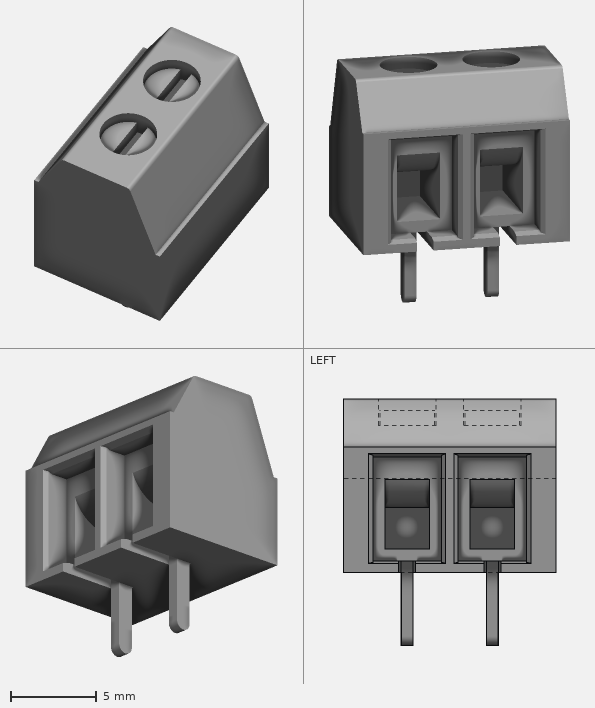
import cadquery as cq
import math


FRONT_X = -4.2
BACK_X = 4.4
WIDTH = 12.5
HEIGHT = 10.21
LEDGE = 0.29
FRONT_LEDGE_Z = 7.4
BACK_LEDGE_Z = 5.52
FRONT_SLOPE_ANGLE = 60.0
BACK_SLOPE_ANGLE = 69.0
RIDGE_RADIUS = 0.29

PITCH = 5.0
POLE_YS = (-PITCH / 2, PITCH / 2)

MOUTH_WIDTH = 4.52
MOUTH_BOTTOM_Z = 0.54
MOUTH_TOP_Z = 6.99
SIDE_BEVEL_DEPTH = 0.23
LEVEL_BEVEL_DEPTH = 0.5
POCKET_WIDTH = 4.03
POCKET_BOTTOM_Z = 0.68
POCKET_TOP_Z = 6.79
POCKET_DEPTH = 1.68
POCKET_BACK_X = FRONT_X + POCKET_DEPTH

CAVITY_WIDTH = 2.61
CAVITY_BOTTOM_Z = 1.39
CAVITY_TOP_Z = 5.47
ROOF_LOW_Z = 3.81

SCREW_HOLE_DIAMETER = 3.4
SCREW_DIAMETER = 3.3
SCREW_RECESS = 0.7
SCREW_SLOT_WIDTH = 0.75
SCREW_SLOT_DEPTH = 0.87

PIN_LENGTH = 4.29
PIN_WIDTH = 1.02
PIN_THICKNESS = 0.71
FLOOR_SLOT_WIDTH = 1.0


def make_housing():
    """Side outline with two sloping shoulders, drawn across the full width."""
    front_run = (HEIGHT - FRONT_LEDGE_Z) / math.tan(math.radians(FRONT_SLOPE_ANGLE))
    back_run = (HEIGHT - BACK_LEDGE_Z) / math.tan(math.radians(BACK_SLOPE_ANGLE))
    outline = [
        (FRONT_X, 0),
        (BACK_X, 0),
        (BACK_X, BACK_LEDGE_Z),
        (BACK_X - LEDGE, BACK_LEDGE_Z),
        (BACK_X - LEDGE - back_run, HEIGHT),
        (FRONT_X + LEDGE + front_run, HEIGHT),
        (FRONT_X + LEDGE, FRONT_LEDGE_Z),
        (FRONT_X, FRONT_LEDGE_Z),
    ]
    block = cq.Workplane("XZ").polyline(outline).close().extrude(WIDTH / 2, both=True)
    return block.faces(">Z").edges("|Y").fillet(RIDGE_RADIUS)


def box_between(x_range, width, z_range):
    """Box centred on Y = 0 between the given X and Z limits."""
    length = x_range[1] - x_range[0]
    height = z_range[1] - z_range[0]
    return cq.Workplane("XY").box(length, width, height, centered=(False, True, False)).translate(
        (x_range[0], 0, z_range[0])
    )


def make_pocket():
    """Wire entry pocket whose mouth flares at the sides and, over a longer run, at top and bottom."""
    side_bevel_x = FRONT_X + SIDE_BEVEL_DEPTH
    level_bevel_x = FRONT_X + LEVEL_BEVEL_DEPTH
    plan = [
        (FRONT_X, -MOUTH_WIDTH / 2),
        (side_bevel_x, -POCKET_WIDTH / 2),
        (POCKET_BACK_X, -POCKET_WIDTH / 2),
        (POCKET_BACK_X, POCKET_WIDTH / 2),
        (side_bevel_x, POCKET_WIDTH / 2),
        (FRONT_X, MOUTH_WIDTH / 2),
    ]
    side = [
        (FRONT_X, MOUTH_BOTTOM_Z),
        (level_bevel_x, POCKET_BOTTOM_Z),
        (POCKET_BACK_X, POCKET_BOTTOM_Z),
        (POCKET_BACK_X, POCKET_TOP_Z),
        (level_bevel_x, POCKET_TOP_Z),
        (FRONT_X, MOUTH_TOP_Z),
    ]
    plan_prism = cq.Workplane("XY").polyline(plan).close().extrude(HEIGHT)
    side_prism = cq.Workplane("XZ").polyline(side).close().extrude(MOUTH_WIDTH / 2, both=True)
    return plan_prism.intersect(side_prism)


def make_cavity():
    """Clamp cavity, symmetric about the screw plane, under an arc that is lowest at that plane."""
    return (
        cq.Workplane("XZ")
        .moveTo(POCKET_BACK_X, CAVITY_BOTTOM_Z)
        .lineTo(POCKET_BACK_X, CAVITY_TOP_Z)
        .threePointArc((0, ROOF_LOW_Z), (-POCKET_BACK_X, CAVITY_TOP_Z))
        .lineTo(-POCKET_BACK_X, CAVITY_BOTTOM_Z)
        .close()
        .extrude(CAVITY_WIDTH / 2, both=True)
    )


def make_screw_cut():
    """Round recess above the screw, the gap around its head and its driver slot."""
    head_z = HEIGHT - SCREW_RECESS
    slot_bottom_z = head_z - SCREW_SLOT_DEPTH
    hole = cq.Workplane("XY", origin=(0, 0, slot_bottom_z)).circle(SCREW_HOLE_DIAMETER / 2)
    hole = hole.extrude(HEIGHT - slot_bottom_z)
    head = cq.Workplane("XY", origin=(0, 0, slot_bottom_z)).circle(SCREW_DIAMETER / 2)
    head = head.extrude(SCREW_SLOT_DEPTH)
    half_slot = SCREW_SLOT_WIDTH / 2
    slot = box_between((-half_slot, half_slot), SCREW_DIAMETER, (slot_bottom_z, head_z))
    return hole.cut(head.cut(slot))


def make_floor_slot():
    """Slot through the pocket floor, running from the front face to the back of the pin."""
    return box_between((FRONT_X, PIN_WIDTH / 2), FLOOR_SLOT_WIDTH, (0, POCKET_BOTTOM_Z))


def make_pin():
    """Flat solder pin with a round tip, held by the roof of the floor slot."""
    radius = PIN_WIDTH / 2
    tip_z = -PIN_LENGTH
    return (
        cq.Workplane("XZ")
        .moveTo(-radius, POCKET_BOTTOM_Z)
        .lineTo(-radius, tip_z + radius)
        .threePointArc((0, tip_z), (radius, tip_z + radius))
        .lineTo(radius, POCKET_BOTTOM_Z)
        .close()
        .extrude(PIN_THICKNESS / 2, both=True)
    )


result = make_housing()
for pole_y in POLE_YS:
    for cutter in (make_pocket(), make_cavity(), make_screw_cut(), make_floor_slot()):
        result = result.cut(cutter.translate((0, pole_y, 0)))
    result = result.union(make_pin().translate((0, pole_y, 0)))